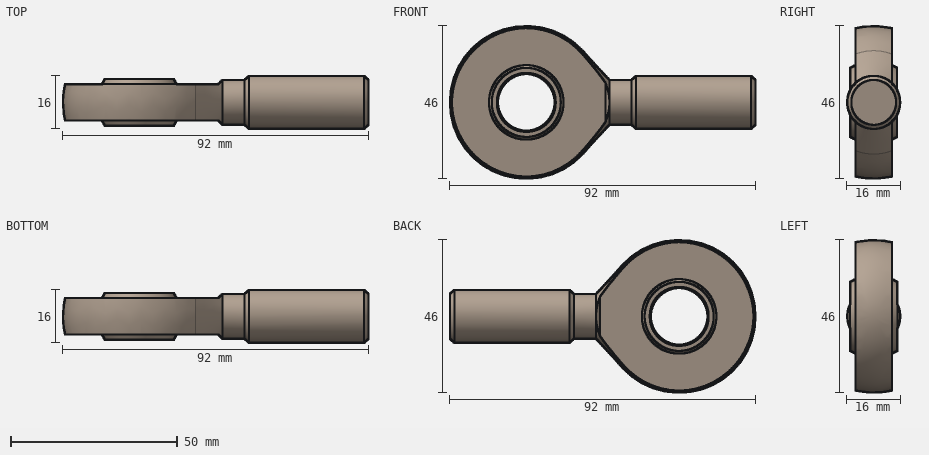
import cadquery as cq
import math

total_length = 92.0
eye_radius = 23.0
eye_thickness = 11.0
cut_margin = 0.9

neck_diameter = 13.5
neck_radius = neck_diameter / 2
neck_start = 25.0
shank_radius = 8.0
shank_start = 31.65
shank_end = total_length - eye_radius
shank_chamfer_length = 1.4
shank_chamfer_depth = shank_radius - neck_radius

ring_width = 14.2
ring_radius = 11.2
ring_taper = 0.8
bore_diameter = 17.0
bore_radius = bore_diameter / 2
bore_chamfer = 0.4


def make_body():
    """Sphere, tangent cone, neck and chamfered shank, revolved about X."""
    neck_corner_distance = math.hypot(neck_start, neck_radius)
    tangent_angle = math.atan2(neck_radius, neck_start) + math.acos(eye_radius / neck_corner_distance)
    mid_angle = (math.pi + tangent_angle) / 2

    def on_eye(angle):
        return (eye_radius * math.cos(angle), eye_radius * math.sin(angle))

    return (
        cq.Workplane("XY")
        .moveTo(-eye_radius, 0)
        .threePointArc(on_eye(mid_angle), on_eye(tangent_angle))
        .lineTo(neck_start, neck_radius)
        .lineTo(shank_start, neck_radius)
        .lineTo(shank_start + shank_chamfer_length, shank_radius)
        .lineTo(shank_end - shank_chamfer_length, shank_radius)
        .lineTo(shank_end, shank_radius - shank_chamfer_depth)
        .lineTo(shank_end, 0)
        .close()
        .revolve(360, (0, 0, 0), (1, 0, 0))
    )


def make_side_cut(side):
    """Block that flattens one side of the eye, ending in a 45 degree slope at the neck."""
    face = eye_thickness / 2
    outer = eye_radius + cut_margin
    flat_end = neck_start - (neck_radius - face)
    return (
        cq.Workplane("XY")
        .polyline([
            (-outer, side * face),
            (flat_end, side * face),
            (neck_start, side * neck_radius),
            (neck_start, side * outer),
            (-outer, side * outer),
        ])
        .close()
        .extrude(outer, both=True)
    )


def make_ring():
    """Bearing ring whose ends taper as they stand proud of both flat sides of the eye."""
    face = eye_thickness / 2
    half_width = ring_width / 2
    end_radius = ring_radius - ring_taper
    return (
        cq.Workplane("XY")
        .polyline([
            (0, -half_width),
            (end_radius, -half_width),
            (ring_radius, -face),
            (ring_radius, face),
            (end_radius, half_width),
            (0, half_width),
        ])
        .close()
        .revolve(360, (0, 0, 0), (0, 1, 0))
    )


def make_bore():
    """Through bore with a small chamfer at each mouth."""
    half_width = ring_width / 2
    mouth_radius = bore_radius + bore_chamfer
    return (
        cq.Workplane("XY")
        .polyline([
            (0, -half_width),
            (mouth_radius, -half_width),
            (bore_radius, bore_chamfer - half_width),
            (bore_radius, half_width - bore_chamfer),
            (mouth_radius, half_width),
            (0, half_width),
        ])
        .close()
        .revolve(360, (0, 0, 0), (0, 1, 0))
    )


body = make_body()
for side in (-1, 1):
    body = body.cut(make_side_cut(side))

result = body.union(make_ring()).cut(make_bore())